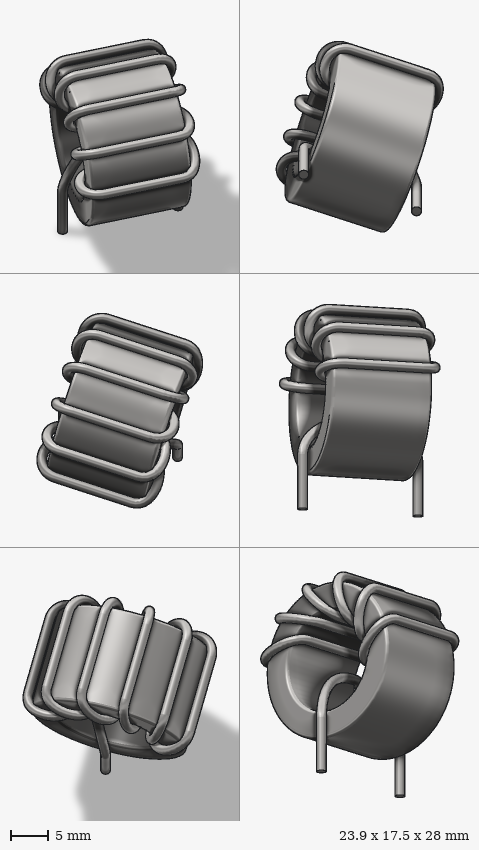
import cadquery as cq
import math


core_diameter = 21.7
bore_diameter = 14.0
core_length = 14.0
core_edge_radius = 0.48

wire_diameter = 1.35
overall_depth = 17.5
outer_pass_radius = 11.7
inner_pass_radius = 6.2
bend_radius = 2.63
back_bow_pull = 3.34
turn_count = 6
turn_pitch = 30.0
first_turn_angle = 160.0
last_turn_angle = first_turn_angle - (turn_count - 1) * turn_pitch
wire_reach = (overall_depth - wire_diameter) / 2
bend_start = wire_reach - bend_radius

lead_bottom = -15.85
lead_top = -8.45
front_lead_rise = 4.37
back_lead_rise = 3.35
lead_curve_run = 5.05


def make_core():
    """Plain ring with all four circular edges rounded."""
    return (
        cq.Workplane("XZ", origin=(0, core_length / 2, 0))
        .circle(core_diameter / 2)
        .circle(bore_diameter / 2)
        .extrude(core_length)
        .faces("<Y or >Y")
        .edges()
        .fillet(core_edge_radius)
    )


def ring_point(radius, angle, y):
    """Point at a radius and angle about the core axis."""
    turn = math.radians(angle)
    return cq.Vector(radius * math.cos(turn), y, radius * math.sin(turn))


def bend(bend_from, corner, bend_to):
    """Quarter-circle bend at a square corner."""
    out_of_corner = (bend_from - corner) + (bend_to - corner)
    middle = corner + out_of_corner * (1 - math.sqrt(0.5))
    return cq.Edge.makeThreePointArc(bend_from, middle, bend_to)


def back_bow(inner_angle, outer_angle):
    """Bowed step behind the core, from a bore pass to the next outer pass."""
    inner = ring_point(inner_pass_radius, inner_angle, bend_start)
    outer = ring_point(outer_pass_radius, outer_angle, bend_start)
    pull = cq.Vector(0, back_bow_pull, 0)
    return cq.Edge.makeBezier([inner, inner + pull, outer + pull, outer])


def front_step(angle):
    """Radial step in front of the core: a bend, a short straight and a second bend."""
    outer_start = ring_point(outer_pass_radius, angle, -bend_start)
    outer_corner = ring_point(outer_pass_radius, angle, -wire_reach)
    straight_start = ring_point(outer_pass_radius - bend_radius, angle, -wire_reach)
    straight_end = ring_point(inner_pass_radius + bend_radius, angle, -wire_reach)
    inner_corner = ring_point(inner_pass_radius, angle, -wire_reach)
    inner_end = ring_point(inner_pass_radius, angle, -bend_start)
    return [
        bend(outer_start, outer_corner, straight_start),
        cq.Edge.makeLine(straight_start, straight_end),
        bend(straight_end, inner_corner, inner_end),
    ]


def straight_pass(radius, angle, start_y):
    """Straight run along the core between the front and back bends."""
    return cq.Edge.makeLine(ring_point(radius, angle, start_y), ring_point(radius, angle, -start_y))


def winding_path():
    """All turns in order, from the end of the front lead to the end of the back lead."""
    edges = []
    for turn in range(turn_count):
        angle = first_turn_angle - turn * turn_pitch
        previous_angle = angle + turn_pitch
        if turn > 0:
            edges.append(straight_pass(inner_pass_radius, previous_angle, -bend_start))
        edges.append(back_bow(previous_angle, angle))
        edges.append(straight_pass(outer_pass_radius, angle, bend_start))
        edges += front_step(angle)
    return edges


def lead_path(winding_end, side, curve_rise):
    """Lead from its foot up to the winding end; side is -1 at the front and +1 at the back."""
    foot = cq.Vector(0, side * wire_reach, lead_bottom)
    top = cq.Vector(0, side * wire_reach, lead_top)
    above_top = top + cq.Vector(0, 0, curve_rise)
    before_winding = winding_end + cq.Vector(0, side * lead_curve_run, 0)
    return [
        cq.Edge.makeLine(foot, top),
        cq.Edge.makeBezier([top, above_top, before_winding, winding_end]),
    ]


def make_wire():
    """Round wire swept from the front lead, through the winding, to the back lead."""
    winding_start = ring_point(inner_pass_radius, first_turn_angle + turn_pitch, bend_start)
    winding_end = ring_point(inner_pass_radius, last_turn_angle, -bend_start)
    front_lead = lead_path(winding_start, -1, front_lead_rise)
    back_lead = lead_path(winding_end, 1, back_lead_rise)
    path = cq.Wire.assembleEdges(front_lead + winding_path() + back_lead[::-1])
    return (
        cq.Workplane("XY", origin=(0, -wire_reach, lead_bottom))
        .circle(wire_diameter / 2)
        .sweep(cq.Workplane(obj=path), isFrenet=True)
    )


wire = make_wire()

core = make_core().cut(wire)

result = cq.Compound.makeCompound([core.solids().val(), wire.val()])